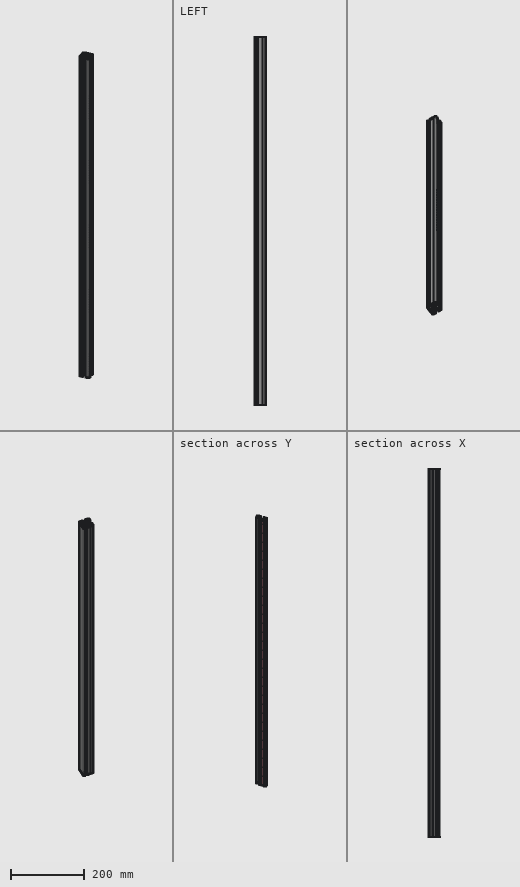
import cadquery as cq

side = 30.0
length = 1000.0
corner_radius = 3.0
core_bore_diameter = 6.8

half_side = side / 2
slot_opening = 8.2
slot_lip = 2.5
slot_inner_width = 18.2
slot_shoulder_depth = 4.5
slot_depth = 9.8
slot_floor_width = 7.2
slot_corner_radius = 0.5

top_wall = 3.2
groove_mouth = 6.0
groove_reach = 16.0
panel_gap = 1.8
panel_end_x = 10.5

pocket_lip = 2.5
pocket_floor_x = -5.3
pocket_ledge_y = 1.2
undercut_width = 2.0
undercut_end_y = -6.0


def prism(points):
    """Full-length prism over a closed outline in the XY plane."""
    return cq.Workplane("XY").polyline(points).close().extrude(length)


def t_slot():
    """Cutter for a T-slot open towards +X."""
    lip_x = half_side - slot_lip
    shoulder_x = half_side - slot_shoulder_depth
    floor_x = half_side - slot_depth
    upper_half = [
        (floor_x, slot_floor_width / 2),
        (shoulder_x, slot_inner_width / 2),
        (lip_x, slot_inner_width / 2),
        (lip_x, slot_opening / 2),
        (half_side, slot_opening / 2),
    ]
    lower_half = [(x, -y) for x, y in reversed(upper_half)]
    cutter = prism(upper_half + lower_half)
    for end in (">Y", "<Y"):
        cutter = cutter.faces(end).edges("|Z").fillet(slot_corner_radius)
    return cutter


def panel_groove():
    """Cutter for the stepped panel groove and the undercut pocket below it."""
    groove_top_y = half_side - top_wall
    groove_floor_y = groove_top_y - groove_mouth
    step_x = groove_reach - half_side
    gap_floor_y = groove_top_y - panel_gap
    lip_x = pocket_lip - half_side
    undercut_x = lip_x + undercut_width
    return prism(
        [
            (-half_side, groove_top_y),
            (-half_side, groove_floor_y),
            (lip_x, groove_floor_y),
            (lip_x, undercut_end_y),
            (undercut_x, undercut_end_y),
            (undercut_x, pocket_ledge_y),
            (pocket_floor_x, pocket_ledge_y),
            (pocket_floor_x, groove_floor_y),
            (step_x, groove_floor_y),
            (step_x, gap_floor_y),
            (panel_end_x, gap_floor_y),
            (panel_end_x, groove_top_y),
        ]
    )


bar = cq.Workplane("XY").rect(side, side).extrude(length)
bar = bar.edges("|Z").fillet(corner_radius)

for angle in (0, -90):
    bar = bar.cut(t_slot().rotate((0, 0, 0), (0, 0, 1), angle))

bar = bar.cut(panel_groove())

core_bore = cq.Workplane("XY").circle(core_bore_diameter / 2).extrude(length)
result = bar.cut(core_bore)